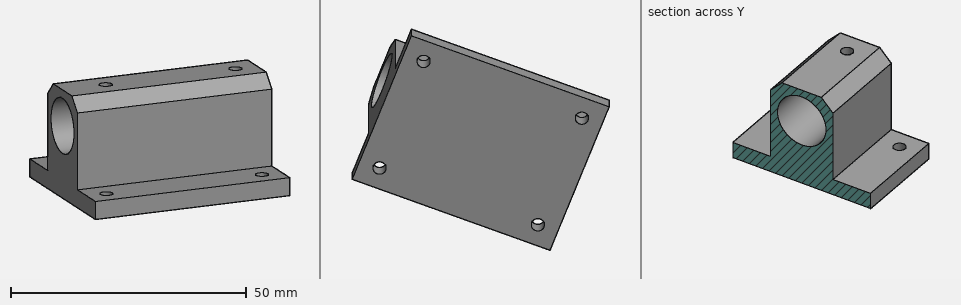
import cadquery as cq

length = 45.0
base_width = 35.0
height = 24.0

base_thickness = 4.0
block_width = 15.95
chamfer = 2.95

bore_diameter = 12.2
bore_height = 16.0
hole_diameter = 2.8
mount_spacing_x = 26.0
mount_spacing_y = 36.0
top_hole_spacing = 30.0
top_hole_offset = 2.5


def box_on_floor(width, tall):
    return cq.Workplane("XY").box(width, length, tall, centered=(True, True, False))


def make_body():
    """Flat base plate carrying a block with chamfered upper edges."""
    base = box_on_floor(base_width, base_thickness)
    block = box_on_floor(block_width, height).faces(">Z").edges("|Y").chamfer(chamfer)
    return base.union(block)


def make_bore():
    """Cylinder running the full length of the block."""
    return (
        cq.Workplane("XZ")
        .center(0, bore_height)
        .circle(bore_diameter / 2)
        .extrude(length / 2, both=True)
    )


def make_mount_holes():
    """Four through holes in the flanges of the base plate."""
    return (
        cq.Workplane("XY")
        .rarray(mount_spacing_x, mount_spacing_y, 2, 2)
        .circle(hole_diameter / 2)
        .extrude(base_thickness)
    )


def make_top_holes():
    """Two holes from the top of the block down into the bore."""
    return (
        cq.Workplane("XY", origin=(0, top_hole_offset, bore_height))
        .rarray(0.45, top_hole_spacing, 1, 2)
        .circle(hole_diameter / 2)
        .extrude(height - bore_height)
    )


result = make_body().cut(make_bore()).cut(make_mount_holes()).cut(make_top_holes())